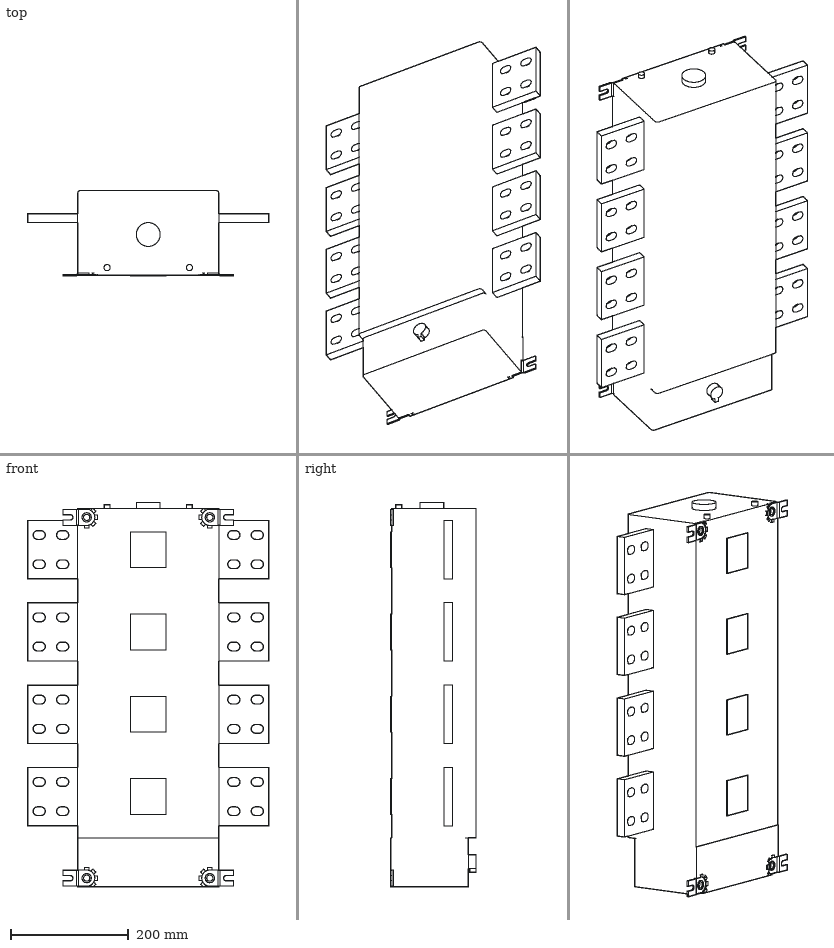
import cadquery as cq

total_height = 654.0
total_width = 410.0
total_depth = 146.0

body_width = 240.0
raised_panel = 2.0
cover_rise = 1.0
body_depth = total_depth - raised_panel
knob_height = 10.5
body_height = total_height - knob_height
bay_height = 84.0
bay_setback = 13.0
back_edge_radius = 5.0

bar_count = 4
bar_pitch = 140.0
bar_height = 99.5
bar_thickness = 15.0
bar_top_gap = 20.0
bar_back_gap = 40.0
bar_top_center = body_height - bar_top_gap - bar_height / 2
bar_centers = [bar_top_center - i * bar_pitch for i in range(bar_count)]
slot_length = 20.0
slot_width = 14.5
slot_edge_gap = 19.5
slot_pitch_x = 40.0
slot_pitch_z = 50.0

label_size = 61.0

top_knob_radius = 20.0
top_knob_back_gap = 75.0
pin_radius = 5.0
pin_height = 6.5
pin_spacing = 140.0
pin_back_gap = 131.5
back_knob_radius = 12.0
back_knob_center_z = 43.0
back_tab_width = 6.5
back_tab_bottom_z = 25.0
back_tab_wall_gap = 2.0

lug_thickness = 2.5
seat_sink = 0.5
recess_depth = seat_sink + lug_thickness
lug_height = 27.5
lug_tip_x = 145.0
lug_bolt_x = 104.5
lug_bolt_inset = 15.0
bend_inner_x = 118.5
bend_outer_x = 122.0
lug_slot_end_x = 128.0
lug_slot_width = 8.5
notch_reach = 18.0
notch_width = 7.0
notch_angle_step = 45
bolt_head_bore_radius = 8.0
bolt_bore_radius = 5.0
bolt_head_bore_depth = 2.0
bolt_bore_depth = 6.5


def box(x_range, y_range, z_range):
    """Axis-aligned block between the given limits."""
    size = [high - low for low, high in (x_range, y_range, z_range)]
    corner = (x_range[0], y_range[0], z_range[0])
    return cq.Workplane("XY").box(*size, centered=False).translate(corner)


def y_cylinder(x, z, radius, y_start, y_end):
    """Cylinder along Y from y_start to y_end."""
    plane = cq.Workplane("XZ", origin=(x, y_start, z))
    return plane.circle(radius).extrude(y_start - y_end)


def z_cylinder(x, y, radius, height):
    """Cylinder standing on the top of the body."""
    return cq.Workplane("XY", origin=(x, y, body_height)).circle(radius).extrude(height)


def make_body():
    """Enclosure with its set-in lower bay and the bay's raised front cover."""
    half = body_width / 2
    upper = box((-half, half), (0, body_depth), (bay_height, body_height))
    bay = box((-half, half), (-cover_rise, body_depth - bay_setback), (0, bay_height))
    upper = upper.edges("|Z and >Y").fillet(back_edge_radius)
    bay = bay.edges("|Z and >Y").fillet(back_edge_radius)
    return upper.union(bay)


def make_bar(z):
    """Terminal bar centered at height z, with four slots at each end."""
    half = total_width / 2
    y_back = body_depth - bar_back_gap
    y_front = y_back - bar_thickness
    bar = box((-half, half), (y_front, y_back), (z - bar_height / 2, z + bar_height / 2))
    outer_x = half - slot_edge_gap
    slot_points = [
        (side * x, row * slot_pitch_z / 2)
        for side in (-1, 1)
        for x in (outer_x, outer_x - slot_pitch_x)
        for row in (-1, 1)
    ]
    slots = (
        cq.Workplane("XZ", origin=(0, y_back, z))
        .pushPoints(slot_points)
        .slot2D(slot_length, slot_width)
        .extrude(bar_thickness)
    )
    return bar.cut(slots)


def make_label(z):
    """Square plate on the front, centered at height z."""
    half = label_size / 2
    return box((-half, half), (-raised_panel, 0), (z - half, z + half))


def make_recess(z, z_edge):
    """Pocket for a right-hand lug's seat, with notches radiating around its round end."""
    half_height = lug_height / 2
    round_end = y_cylinder(lug_bolt_x, z, half_height, -raised_panel, recess_depth)
    channel = box(
        (lug_bolt_x, bend_outer_x),
        (-raised_panel, recess_depth),
        (min(z - half_height, z_edge), max(z + half_height, z_edge)),
    )
    recess = round_end.union(channel)
    notch = box(
        (lug_bolt_x - notch_reach, lug_bolt_x),
        (-raised_panel, recess_depth),
        (z - notch_width / 2, z + notch_width / 2),
    )
    for angle in range(-90, 91, notch_angle_step):
        recess = recess.union(notch.rotate((lug_bolt_x, 0, z), (lug_bolt_x, 1, z), angle))
    return recess


def make_lug(z):
    """Right-hand lug: seat with a round end, a bend, and a forked outer end."""
    half_height = lug_height / 2
    tip_back = lug_thickness - raised_panel
    profile = (
        cq.Workplane("XY", origin=(0, 0, z - half_height))
        .moveTo(lug_bolt_x, seat_sink)
        .lineTo(bend_inner_x, seat_sink)
        .lineTo(bend_outer_x, -raised_panel)
        .lineTo(lug_tip_x, -raised_panel)
        .lineTo(lug_tip_x, tip_back)
        .lineTo(bend_outer_x, tip_back)
        .lineTo(bend_inner_x, recess_depth)
        .lineTo(lug_bolt_x, recess_depth)
        .close()
        .extrude(lug_height)
    )
    round_end = y_cylinder(lug_bolt_x, z, half_height, seat_sink, recess_depth)
    slot_radius = lug_slot_width / 2
    slot_round_x = lug_slot_end_x + slot_radius
    fork_round = y_cylinder(slot_round_x, z, slot_radius, -raised_panel, tip_back)
    fork_gap = box(
        (slot_round_x, lug_tip_x),
        (-raised_panel, tip_back),
        (z - slot_radius, z + slot_radius),
    )
    return profile.union(round_end).cut(fork_round).cut(fork_gap)


def make_bolt_hole(z):
    """Counterbored hole through a right-hand lug's seat into the body."""
    head_bore = y_cylinder(lug_bolt_x, z, bolt_head_bore_radius, 0, bolt_head_bore_depth)
    bore = y_cylinder(lug_bolt_x, z, bolt_bore_radius, 0, bolt_bore_depth)
    return head_bore.union(bore)


def make_back_knob():
    """Round knob on the bay's back wall with a small tab hanging below it."""
    wall_y = body_depth - bay_setback
    knob = y_cylinder(0, back_knob_center_z, back_knob_radius, wall_y, body_depth)
    tab = box(
        (-back_tab_width / 2, back_tab_width / 2),
        (wall_y + back_tab_wall_gap, body_depth),
        (back_tab_bottom_z, back_knob_center_z),
    )
    return knob.union(tab)


result = make_body()
for bar_z in bar_centers:
    result = result.union(make_bar(bar_z)).union(make_label(bar_z))

result = result.union(z_cylinder(0, body_depth - top_knob_back_gap, top_knob_radius, knob_height))
for side in (-1, 1):
    pin = z_cylinder(side * pin_spacing / 2, body_depth - pin_back_gap, pin_radius, pin_height)
    result = result.union(pin)
result = result.union(make_back_knob())

for lug_z, edge_z in (
    (lug_bolt_inset, 0),
    (body_height - lug_bolt_inset, body_height),
):
    recess = make_recess(lug_z, edge_z)
    lug = make_lug(lug_z)
    bolt_hole = make_bolt_hole(lug_z)
    result = result.cut(recess).cut(recess.mirror("YZ"))
    result = result.union(lug).union(lug.mirror("YZ"))
    result = result.cut(bolt_hole).cut(bolt_hole.mirror("YZ"))